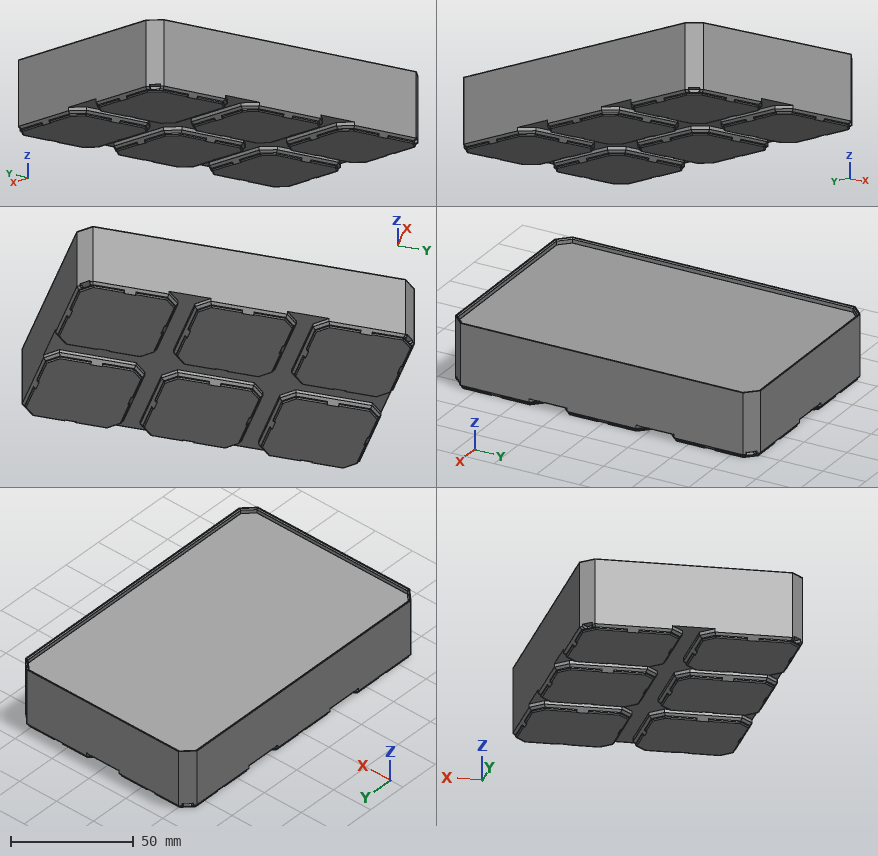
import cadquery as cq
import math

foot_size = 42.9
foot_pitch = 50.0
feet_along_x = 2
feet_along_y = 3
total_height = 30.0
corner_cut = 5.3

lower_bevel = 0.5
straight_band = 0.5
upper_bevel = 1.0
gap_height = 3.5

rim_width = 0.5
rim_bevel = 0.5
recess_wall = 1.7

side_notch_width = 4.9

slot_width = 4.5
slot_depth = 3.6
slot_bottom = 1.0
slot_top = 2.9
slot_side_bevel = 0.6

body_x = foot_size + (feet_along_x - 1) * foot_pitch
body_y = foot_size + (feet_along_y - 1) * foot_pitch


def octagon(size_x, size_y, inset, height):
    """Outline of a rectangle with cut corners, every side moved in by the inset."""
    half_x = size_x / 2 - inset
    half_y = size_y / 2 - inset
    cut = corner_cut - inset * (2 - math.sqrt(2))
    corners = [
        (half_x, half_y - cut),
        (half_x - cut, half_y),
        (cut - half_x, half_y),
        (-half_x, half_y - cut),
        (-half_x, cut - half_y),
        (cut - half_x, -half_y),
        (half_x - cut, -half_y),
        (half_x, cut - half_y),
    ]
    return cq.Wire.makePolygon([cq.Vector(x, y, height) for x, y in corners], close=True)


def stepped_block(size_x, size_y, levels):
    """Solid passing through octagons given as (inset, height) pairs from bottom to top."""
    block = cq.Workplane("XY")
    for (low_inset, low), (high_inset, high) in zip(levels, levels[1:]):
        bottom = octagon(size_x, size_y, low_inset, low)
        top = octagon(size_x, size_y, high_inset, high)
        block = block.add(cq.Solid.makeLoft([bottom, top], True))
    return block.combine()


def make_foot():
    band_bottom = lower_bevel
    band_top = band_bottom + straight_band
    bevel_top = band_top + upper_bevel
    foot = stepped_block(foot_size, foot_size, [
        (upper_bevel + lower_bevel, 0),
        (upper_bevel, band_bottom),
        (upper_bevel, band_top),
        (0, bevel_top),
        (0, gap_height),
    ])
    outer_face = -foot_size / 2
    notch = (
        cq.Workplane("YZ")
        .polyline([(outer_face, bevel_top), (outer_face + bevel_top, 0), (outer_face, 0)])
        .close()
        .extrude(side_notch_width / 2, both=True)
    )
    for side in range(4):
        foot = foot.cut(notch.rotate((0, 0, 0), (0, 0, 1), 90 * side))
    return foot


def make_body():
    body = stepped_block(body_x, body_y, [(0, gap_height), (0, total_height)])
    recess_floor = total_height - rim_bevel - recess_wall
    recess_inset = rim_width + rim_bevel
    recess = stepped_block(body_x, body_y, [
        (recess_inset, recess_floor),
        (recess_inset, total_height - rim_bevel),
        (rim_width, total_height),
    ])
    return body.cut(recess)


def make_corner_slot(side_x, side_y):
    """Slot centred on the corner cut and square to it; its lower sides slope in."""
    half_width = slot_width / 2
    half_floor = half_width - slot_side_bevel
    bevel_height = slot_bottom + slot_side_bevel
    plane = cq.Plane(
        origin=(side_x * (body_x - corner_cut) / 2, side_y * (body_y - corner_cut) / 2, 0),
        xDir=(-side_y, side_x, 0),
        normal=(side_x, side_y, 0),
    )
    outline = [
        (-half_floor, slot_bottom),
        (half_floor, slot_bottom),
        (half_width, bevel_height),
        (half_width, slot_top),
        (-half_width, slot_top),
        (-half_width, bevel_height),
    ]
    return cq.Workplane(plane).polyline(outline).close().extrude(-slot_depth)


result = make_body()
foot = make_foot()
for column in range(feet_along_x):
    for row in range(feet_along_y):
        foot_x = (column - (feet_along_x - 1) / 2) * foot_pitch
        foot_y = (row - (feet_along_y - 1) / 2) * foot_pitch
        result = result.union(foot.translate((foot_x, foot_y, 0)))

for side_x in (-1, 1):
    for side_y in (-1, 1):
        result = result.cut(make_corner_slot(side_x, side_y))